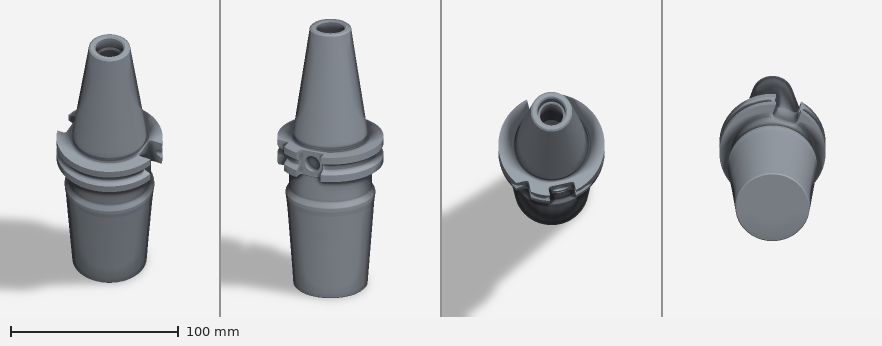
import cadquery as cq
import math

LENGTH = 168.4
GAUGE_Z = 100.0
FLANGE_TOP = 96.8
FLANGE_BOTTOM = 80.8
FLANGE_MID = (FLANGE_TOP + FLANGE_BOTTOM) / 2
COLLAR_TOP = 61.1
NOSE_TOP = 55.5

GAUGE_R = 22.2
FLANGE_R = 63.5 / 2
BODY_R = 24.8
COLLAR_R = 26.8
NOSE_R = 22.2

TAPER_SLOPE = 7 / 48
TAPER_TIP_R = GAUGE_R - TAPER_SLOPE * (LENGTH - GAUGE_Z)
TIP_CHAMFER = 0.8
NOSE_CHAMFER = 0.7
COLLAR_TAPER = 0.5
COLLAR_BAND_HEIGHT = 3.2
COLLAR_SLOPE_HEIGHT = 3.4

COLLAR_FILLET = 1.0
BODY_FILLET = 0.8

UNDERCUT_TOP = 99.2
UNDERCUT_SLOPE = 0.8
UNDERCUT_DEPTH = 0.3
UNDERCUT_OUTER_R = 23.7
UNDERCUT_FILLET = 0.7

GROOVE_R = 28.3
GROOVE_WIDTH = 7.0
GROOVE_WALL_ANGLE = 30.0
GROOVE_FILLET = 0.7

SLOT_WIDTH = 15.8
SLOT_FILLET = 1.5
LEFT_SLOT_FLOOR = 25.3
RIGHT_SLOT_FLOOR = 22.7
RUNOUT_TOP = 87.5
RUNOUT_R = 53.9

NOTCH_X = -18.5
NOTCH_Y = 18.5

DATA_HOLE_R = 5.0
DATA_HOLE_DEPTH = 4.5
CENTRE_MARK_R = 0.42
CENTRE_MARK_DEPTH = 0.5

PILOT_R = 8.5
PILOT_DEPTH = 7.7
MOUTH_CHAMFER = 0.8
STEP_CHAMFER = 0.7
BORE_R = 6.9
BORE_DEPTH = 42.1
DRILL_POINT_ANGLE = 118.0

CLEARANCE = 8.5


def round_ring(solid, ring_radius, z, fillet):
    """Fillet the circular edge of the given radius and height around the axis."""
    ring = solid.edges("%CIRCLE").filter(
        lambda edge: math.isclose(edge.radius(), ring_radius) and math.isclose(edge.Center().z, z)
    )
    return ring.fillet(fillet)


def turned_body():
    groove_half = GROOVE_WIDTH / 2
    groove_floor_half = groove_half - (FLANGE_R - GROOVE_R) * math.tan(math.radians(GROOVE_WALL_ANGLE))
    groove_floor_bottom = FLANGE_MID - groove_floor_half
    groove_floor_top = FLANGE_MID + groove_floor_half
    slope_top = COLLAR_TOP + COLLAR_SLOPE_HEIGHT
    undercut_r = GAUGE_R - UNDERCUT_DEPTH
    undercut_z = FLANGE_TOP - UNDERCUT_DEPTH
    body = (
        cq.Workplane("XZ")
        .lineTo(NOSE_R - NOSE_CHAMFER, 0)
        .lineTo(NOSE_R, NOSE_CHAMFER)
        .lineTo(COLLAR_R - COLLAR_TAPER, NOSE_TOP)
        .lineTo(COLLAR_R, NOSE_TOP + COLLAR_BAND_HEIGHT)
        .lineTo(COLLAR_R, COLLAR_TOP)
        .lineTo(BODY_R, slope_top)
        .lineTo(BODY_R, FLANGE_BOTTOM)
        .lineTo(FLANGE_R, FLANGE_BOTTOM)
        .lineTo(FLANGE_R, FLANGE_MID - groove_half)
        .lineTo(GROOVE_R, groove_floor_bottom)
        .lineTo(GROOVE_R, groove_floor_top)
        .lineTo(FLANGE_R, FLANGE_MID + groove_half)
        .lineTo(FLANGE_R, FLANGE_TOP)
        .lineTo(UNDERCUT_OUTER_R, FLANGE_TOP)
        .lineTo(UNDERCUT_OUTER_R - UNDERCUT_SLOPE, undercut_z)
        .lineTo(undercut_r, undercut_z)
        .lineTo(undercut_r, UNDERCUT_TOP - UNDERCUT_SLOPE)
        .lineTo(GAUGE_R, UNDERCUT_TOP)
        .lineTo(GAUGE_R, GAUGE_Z)
        .lineTo(TAPER_TIP_R + TAPER_SLOPE * TIP_CHAMFER, LENGTH - TIP_CHAMFER)
        .lineTo(TAPER_TIP_R - TIP_CHAMFER, LENGTH)
        .lineTo(0, LENGTH)
        .close()
        .revolve(360, (0, 0, 0), (0, 1, 0))
    )
    body = round_ring(body, COLLAR_R, COLLAR_TOP, COLLAR_FILLET)
    body = round_ring(body, BODY_R, slope_top, COLLAR_FILLET)
    body = round_ring(body, BODY_R, FLANGE_BOTTOM, BODY_FILLET)
    body = round_ring(body, GROOVE_R, groove_floor_bottom, GROOVE_FILLET)
    body = round_ring(body, GROOVE_R, groove_floor_top, GROOVE_FILLET)
    return round_ring(body, undercut_r, undercut_z, UNDERCUT_FILLET)


def pull_stud_bore():
    point_depth = BORE_R / math.tan(math.radians(DRILL_POINT_ANGLE / 2))
    step_z = LENGTH - PILOT_DEPTH
    return (
        cq.Workplane("XZ")
        .moveTo(0, LENGTH)
        .lineTo(PILOT_R + MOUTH_CHAMFER, LENGTH)
        .lineTo(PILOT_R, LENGTH - MOUTH_CHAMFER)
        .lineTo(PILOT_R, step_z)
        .lineTo(BORE_R + STEP_CHAMFER, step_z)
        .lineTo(BORE_R, step_z - STEP_CHAMFER)
        .lineTo(BORE_R, LENGTH - BORE_DEPTH)
        .lineTo(0, LENGTH - BORE_DEPTH - point_depth)
        .close()
        .revolve(360, (0, 0, 0), (0, 1, 0))
    )


def left_slot():
    reach = FLANGE_R + CLEARANCE - LEFT_SLOT_FLOOR
    return (
        cq.Workplane("XY", origin=(-LEFT_SLOT_FLOOR - reach / 2, 0, FLANGE_BOTTOM))
        .rect(reach, SLOT_WIDTH)
        .extrude(FLANGE_TOP - FLANGE_BOTTOM)
        .edges("|Z and >X")
        .fillet(SLOT_FILLET)
    )


def right_slot():
    """Slot whose floor curves out through the body below the flange."""
    outer_x = FLANGE_R + CLEARANCE
    end_drop = math.sqrt(RUNOUT_R**2 - (RUNOUT_R - (COLLAR_R - RIGHT_SLOT_FLOOR)) ** 2)
    mid_drop = end_drop / 2
    mid_x = RIGHT_SLOT_FLOOR + RUNOUT_R - math.sqrt(RUNOUT_R**2 - mid_drop**2)
    slot = (
        cq.Workplane("XZ")
        .moveTo(outer_x, FLANGE_TOP)
        .lineTo(RIGHT_SLOT_FLOOR, FLANGE_TOP)
        .lineTo(RIGHT_SLOT_FLOOR, RUNOUT_TOP)
        .threePointArc((mid_x, RUNOUT_TOP - mid_drop), (COLLAR_R, RUNOUT_TOP - end_drop))
        .lineTo(outer_x, RUNOUT_TOP - end_drop)
        .close()
        .extrude(SLOT_WIDTH / 2, both=True)
    )
    floor_edges = slot.edges("|Z and <X").add(slot.edges("%CIRCLE"))
    return floor_edges.fillet(SLOT_FILLET)


def orientation_notch():
    size = FLANGE_R
    return (
        cq.Workplane("XY", origin=(NOTCH_X - size / 2, NOTCH_Y + size / 2, FLANGE_BOTTOM))
        .rect(size, size)
        .extrude(FLANGE_TOP - FLANGE_BOTTOM)
        .edges("|Z and >X and <Y")
        .fillet(SLOT_FILLET)
    )


def data_hole():
    floor = cq.Workplane("YZ", origin=(-LEFT_SLOT_FLOOR, 0, FLANGE_MID))
    hole = floor.circle(DATA_HOLE_R).extrude(DATA_HOLE_DEPTH)
    mark = floor.circle(CENTRE_MARK_R).extrude(DATA_HOLE_DEPTH + CENTRE_MARK_DEPTH)
    return hole.union(mark)


result = turned_body()
for cutter in (pull_stud_bore(), left_slot(), right_slot(), orientation_notch(), data_hole()):
    result = result.cut(cutter)